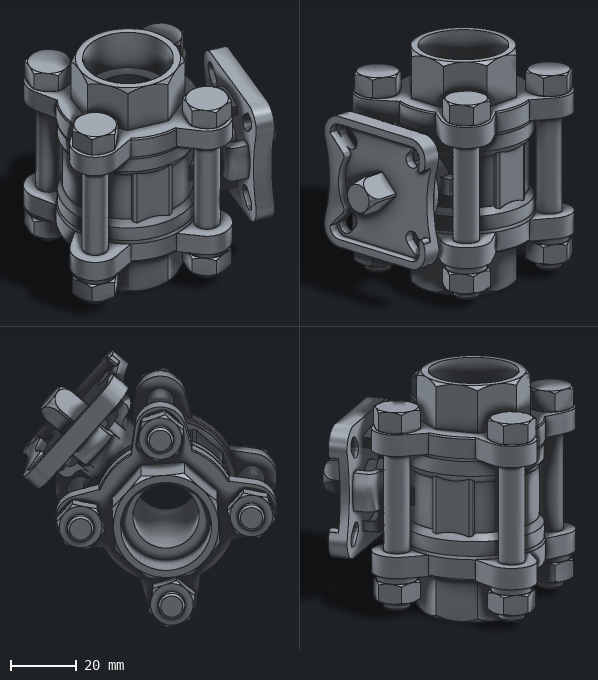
import cadquery as cq
import math


overall_width = 52.3
overall_depth = 73.0

cap_end = 37.5
bore_diameter = 20.0
socket_diameter = 27.5
socket_depth = 13.0
octagon_width = 31.95
octagon_bevel_height = 1.35

flange_inner = 16.0
flange_outer = 22.7
flange_radius = 21.8
flange_bevel_radial = 0.34
flange_bevel_height = 0.5
lug_offset = 18.4
lug_radius = overall_width / 2 - lug_offset
lug_root_x = 7.5

bolt_diameter = 8.0
bolt_end = -34.1
bolt_bevel = 0.7
washer_diameter = 12.5
washer_bottom = -25.0
nut_bottom = -31.3
head_top = 29.5
hex_width = 13.0
hex_bevel_height = 0.6

body_radius = 19.95
rim_diameter = 43.0
rim_radius = rim_diameter / 2
rim_end = 15.0
rim_inner = 10.35
rim_step = 9.4
rim_step_radius = 20.85
barrel_end = 8.1

pad_x = 20.0
pad_half_flat = 5.25
pad_half_width = 6.4
pad_half_foot = 6.7
pad_half_root = 7.5
pad_bevel = 0.6
pad_foot_depth = 1.2

stem_diameter = 12.0
stem_end = overall_depth - overall_width / 2
stem_square = 9.0
stem_round_length = 4.0
stem_end_radius = 4.5
neck_radius = 10.5
neck_end = 28.4
neck_base_width = 27.9
neck_base_height = 5.4
neck_base_end = 21.0
arm_width = 12.0
arm_outer_radius = 16.0
arm_inner_diameter = 26.0
arm_inner_radius = arm_inner_diameter / 2
arm_bend_radius = (arm_outer_radius - neck_radius) / 2
arm_inner_fillet = 2.0
arm_foot = 23.85
plate_back = 33.45
plate_front = 39.5
plate_half = 21.0
plate_corner_radius = 6.15
plate_waist_radius = 45.0
slot_width = 5.0
slot_inner_radius = 18.0
slot_outer_radius = 21.0

recess_floor = 36.45
recess_rim = 2.5
mouth_half_gap = 10.8
lip_start_x = -19.3
mouth_lip_radius = 1.0
stop_radius = 15.0
stop_flank_offset = 3.5
stop_nose_radius = 1.8


def cylinder(radius, z_low, z_high):
    return cq.Workplane("XY").workplane(offset=z_low).circle(radius).extrude(z_high - z_low)


def y_plane(y):
    """Plane square to the stem, with local axes along X and Z and its normal along +Y."""
    return cq.Workplane(cq.Plane(origin=(0, y, 0), xDir=(1, 0, 0), normal=(0, 1, 0)))


def y_extrude(sketch_points, y_low, y_high):
    """Prism between two Y levels over a polygon given as (x, z) points."""
    return y_plane(y_low).polyline(sketch_points).close().extrude(y_high - y_low)


def bevelled_prism(sides, width, z_low, z_high, bevel_height, bevel_low, bevel_high):
    """Regular prism with flats square to X, with its chosen ends bevelled down to the inscribed circle."""
    corner_radius = width / 2 / math.cos(math.pi / sides)
    prism = (
        cq.Workplane("XY")
        .workplane(offset=z_low)
        .polygon(sides, 2 * corner_radius)
        .extrude(z_high - z_low)
        .rotate((0, 0, 0), (0, 0, 1), 180 / sides)
    )
    low_radius = width / 2 if bevel_low else corner_radius
    high_radius = width / 2 if bevel_high else corner_radius
    envelope = (
        cq.Workplane("XZ")
        .moveTo(0, z_low)
        .lineTo(low_radius, z_low)
        .lineTo(corner_radius, z_low + bevel_height)
        .lineTo(corner_radius, z_high - bevel_height)
        .lineTo(high_radius, z_high)
        .lineTo(0, z_high)
        .close()
        .revolve(360, (0, 0, 0), (0, 1, 0))
    )
    return prism.intersect(envelope)


def make_upper_cap():
    """Flange with four lugs and an octagonal pipe end, on the +Z side."""
    thickness = flange_outer - flange_inner
    cap = cylinder(flange_radius, flange_inner, flange_outer)
    cap = cap.faces(">Z").chamfer(flange_bevel_height, flange_bevel_radial)

    root_y = math.sqrt(flange_radius**2 - lug_root_x**2)
    root_dx = lug_root_x - lug_offset
    root_dy = root_y - lug_offset
    root_distance = math.hypot(root_dx, root_dy)
    tangent_angle = math.atan2(root_dy, root_dx) - math.acos(lug_radius / root_distance)
    tangent_x = lug_offset + lug_radius * math.cos(tangent_angle)
    tangent_y = lug_offset + lug_radius * math.sin(tangent_angle)
    web_points = [
        (0, 0),
        (lug_root_x, root_y),
        (tangent_x, tangent_y),
        (tangent_y, tangent_x),
        (root_y, lug_root_x),
    ]
    web = cq.Workplane("XY").workplane(offset=flange_inner).polyline(web_points).close().extrude(thickness)
    lug = cylinder(lug_radius, flange_inner, flange_outer).translate((lug_offset, lug_offset, 0))
    for quarter in range(4):
        cap = cap.union(web.union(lug).rotate((0, 0, 0), (0, 0, 1), 90 * quarter))

    pipe_end = bevelled_prism(8, octagon_width, flange_inner, cap_end, octagon_bevel_height, False, True)
    return cap.union(pipe_end)


def make_body():
    """Barrel with a rim at each end that tapers out to meet the flanges."""
    half_profile = [
        (body_radius, barrel_end),
        (rim_step_radius, rim_step),
        (rim_radius, rim_inner),
        (rim_radius, rim_end),
        (flange_radius, flange_inner),
    ]
    lower_profile = [(radius, -z) for radius, z in reversed(half_profile)]
    profile = [(0, -flange_inner)] + lower_profile + half_profile + [(0, flange_inner)]
    return cq.Workplane("XZ").polyline(profile).close().revolve(360, (0, 0, 0), (0, 1, 0))


def make_pads():
    """Flat pads with sloping flanks on the -X and +X sides of the barrel."""
    root_x = math.sqrt(body_radius**2 - pad_half_root**2)
    side = [
        (pad_x, pad_half_flat),
        (pad_x - pad_bevel, pad_half_width),
        (pad_x - pad_foot_depth, pad_half_foot),
        (root_x, pad_half_root),
    ]
    outline = side + [(-x, y) for x, y in reversed(side)]
    outline += [(-x, -y) for x, y in side] + [(x, -y) for x, y in reversed(side)]
    return cq.Workplane("XY").workplane(offset=-rim_step).polyline(outline).close().extrude(2 * rim_step)


def make_bolt(corners_on_x):
    """Bolt with head, washer and nut, on its own axis."""
    shank = cylinder(bolt_diameter / 2, bolt_end, head_top - hex_bevel_height)
    shank = shank.faces("<Z").chamfer(bolt_bevel)
    washer = cylinder(washer_diameter / 2, washer_bottom, -flange_outer)
    head = bevelled_prism(6, hex_width, flange_outer, head_top, hex_bevel_height, True, True)
    nut = bevelled_prism(6, hex_width, nut_bottom, washer_bottom, hex_bevel_height, True, True)
    bolt = shank.union(washer).union(head).union(nut)
    return bolt.rotate((0, 0, 0), (0, 0, 1), 90 if corners_on_x else 0)


def make_bracket():
    """Stem neck on its flat base, with four bent arms cut as a cross from one revolved shell."""
    bend_radius = arm_outer_radius - arm_bend_radius
    bend_y = arm_foot + arm_bend_radius
    shell = (
        cq.Workplane("XY")
        .moveTo(0, arm_foot)
        .lineTo(neck_radius, arm_foot)
        .radiusArc((bend_radius, bend_y), arm_bend_radius)
        .radiusArc((arm_outer_radius, bend_y + arm_bend_radius), -arm_bend_radius)
        .lineTo(arm_outer_radius, plate_back)
        .lineTo(arm_inner_radius, plate_back)
        .lineTo(arm_inner_radius, neck_end + arm_inner_fillet)
        .radiusArc((arm_inner_radius - arm_inner_fillet, neck_end), arm_inner_fillet)
        .lineTo(0, neck_end)
        .close()
        .revolve(360, (0, 0, 0), (0, 1, 0))
    )
    arm_length = plate_back - arm_foot
    cross = (
        y_plane(arm_foot)
        .rect(2 * plate_half, arm_width)
        .extrude(arm_length)
        .union(y_plane(arm_foot).rect(arm_width, 2 * plate_half).extrude(arm_length))
    )
    neck = y_plane(0).circle(neck_radius).extrude(neck_end)
    base = y_plane(0).rect(neck_base_width, neck_base_height).extrude(neck_base_end)
    return shell.intersect(cross).union(neck).union(base)


def make_recess():
    """Rimmed pocket with a mouth on the -X side and a two-nosed handle stop on the +X side."""
    depth = plate_front - recess_floor
    half_pocket = plate_half - recess_rim
    pocket = (
        y_plane(recess_floor)
        .rect(2 * half_pocket, 2 * half_pocket)
        .extrude(depth)
        .edges("|Y")
        .fillet(plate_corner_radius - recess_rim)
    )

    flank_z = plate_half - stop_flank_offset
    stop_points = [(stop_flank_offset, 0), (plate_half, flank_z), (plate_half, -flank_z)]
    stop_hub = y_plane(recess_floor).circle(stop_radius).extrude(depth)
    stop = y_extrude(stop_points, recess_floor, plate_front).cut(stop_hub)
    stop = stop.edges("|Y").edges("<X").fillet(stop_nose_radius)

    lip_end_x = lip_start_x - mouth_lip_radius
    half_mouth = mouth_half_gap + mouth_lip_radius
    mouth = (
        y_plane(recess_floor)
        .moveTo(-half_pocket + mouth_lip_radius, mouth_half_gap)
        .lineTo(lip_start_x, mouth_half_gap)
        .tangentArcPoint((lip_end_x, half_mouth), relative=False)
        .lineTo(-plate_half, half_mouth)
        .lineTo(-plate_half, -half_mouth)
        .lineTo(lip_end_x, -half_mouth)
        .radiusArc((lip_start_x, -mouth_half_gap), -mouth_lip_radius)
        .lineTo(-half_pocket + mouth_lip_radius, -mouth_half_gap)
        .close()
        .extrude(depth)
    )
    return pocket.cut(stop).union(mouth)


def make_plate():
    """Mounting plate with round corners, waisted sides, diagonal slots and a handle stop recess."""
    thickness = plate_front - plate_back
    corner = plate_half - plate_corner_radius

    waist_angle = math.asin(corner / (plate_waist_radius + plate_corner_radius))
    tangent_x = corner + plate_corner_radius * math.cos(waist_angle)
    tangent_z = corner - plate_corner_radius * math.sin(waist_angle)
    plate = (
        y_plane(plate_back)
        .moveTo(-corner, plate_half)
        .lineTo(corner, plate_half)
        .tangentArcPoint((tangent_x, tangent_z), relative=False)
        .tangentArcPoint((tangent_x, -tangent_z), relative=False)
        .tangentArcPoint((corner, -plate_half), relative=False)
        .lineTo(-corner, -plate_half)
        .tangentArcPoint((-tangent_x, -tangent_z), relative=False)
        .tangentArcPoint((-tangent_x, tangent_z), relative=False)
        .tangentArcPoint((-corner, plate_half), relative=False)
        .close()
        .extrude(thickness)
    )

    slot_middle = (slot_inner_radius + slot_outer_radius) / 2
    slot_length = slot_outer_radius - slot_inner_radius + slot_width
    slot = y_plane(plate_back).center(slot_middle, 0).slot2D(slot_length, slot_width).extrude(thickness)
    for quarter in range(4):
        plate = plate.cut(slot.rotate((0, 0, 0), (0, 1, 0), 45 + 90 * quarter))
    return plate.cut(make_recess())


def make_stem():
    """Round stem whose outer end is a square with truncated corners and a rounded tip."""
    radius = stem_diameter / 2
    envelope = (
        cq.Workplane("XY")
        .lineTo(radius, 0)
        .lineTo(radius, stem_end - stem_round_length)
        .tangentArcPoint((stem_end_radius, stem_end), relative=False)
        .lineTo(0, stem_end)
        .close()
        .revolve(360, (0, 0, 0), (0, 1, 0))
    )
    square = (
        y_plane(recess_floor)
        .rect(stem_square, stem_square)
        .extrude(stem_end - recess_floor)
        .rotate((0, 0, 0), (0, 1, 0), 45)
    )
    shaft = y_plane(0).circle(radius).extrude(recess_floor)
    return shaft.union(square).intersect(envelope)


def make_passage():
    """Through bore with a wider socket at each pipe end."""
    passage = cylinder(bore_diameter / 2, -cap_end, cap_end)
    upper_socket = cylinder(socket_diameter / 2, cap_end - socket_depth, cap_end)
    return passage.union(upper_socket).union(upper_socket.mirror("XY"))


upper_cap = make_upper_cap()
valve = make_body().union(make_pads()).union(upper_cap).union(upper_cap.mirror("XY"))
valve = valve.union(make_bracket()).union(make_plate()).union(make_stem())
valve = valve.cut(make_passage())

for x_side in (-1, 1):
    for y_side in (-1, 1):
        bolt = make_bolt(corners_on_x=x_side == y_side)
        valve = valve.union(bolt.translate((x_side * lug_offset, y_side * lug_offset, 0)))

result = valve